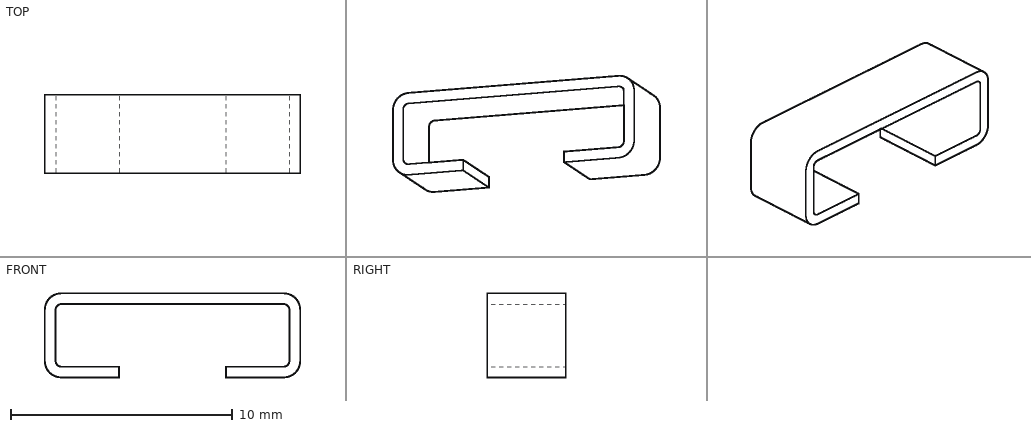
import cadquery as cq

length = 11.56
width = 3.56
height = 3.81

thickness = 0.5
outer_bend_radius = 0.75
inner_bend_radius = outer_bend_radius - thickness

lip_length = 3.36
gap = length - 2 * lip_length


def rounded_bar(x_size, z_size, corner_radius):
    """Bar along Y, with its four long edges rounded."""
    return cq.Workplane("XY").box(x_size, width, z_size).edges("|Y").fillet(corner_radius)


outside = rounded_bar(length, height, outer_bend_radius)
inside = rounded_bar(length - 2 * thickness, height - 2 * thickness, inner_bend_radius)
loop = outside.cut(inside)

bottom_wall_center = (0, 0, (thickness - height) / 2)
opening = cq.Workplane("XY").box(gap, width, thickness).translate(bottom_wall_center)

result = loop.cut(opening)